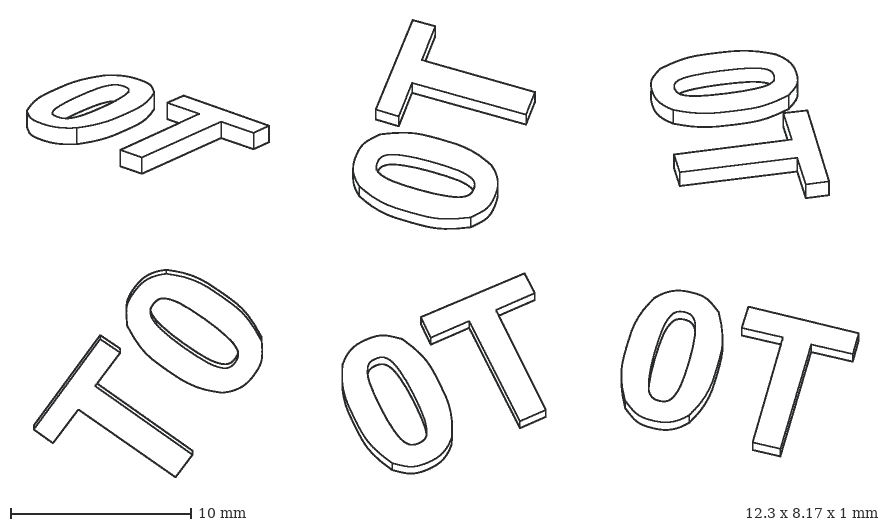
import cadquery as cq

total_width = 12.29
thickness = 1.0

o_half_width = 2.59
o_height = 8.17
o_apex = (0.05, o_height / 2)
left_corner = (-1.82, 3.27)
right_corner = (1.85, 3.27)
left_flank = [(-2.5, 1.49), (-2.25, 2.37)]
left_cap = [(-1.52, 3.55), (-1.09, 3.85)]
right_cap = [(1.13, 3.85), (1.52, 3.55)]
right_flank = [(2.26, 2.37), (2.52, 1.49)]

opening_half_width = 1.0
opening_half_height = 2.81
opening_shoulder = (0.52, 2.64)
opening_flank = [(0.85, 1.93), (0.96, 1.1)]

up = (0, 1)
down = (0, -1)
rightward = (1, 0)
flank_rise = (1, 2)
flank_fall = (1, -2)
cap_rise = (1, 0.9)
cap_fall = (1, -0.9)
shoulder_rise = (1, 1)
shoulder_fall = (1, -1)

t_right = total_width - o_half_width
t_bar_top_left = (3.35, 4.02)
t_bar_top_right = (t_right, 3.95)
t_bar_bottom_right = (t_right, 2.62)
t_bar_bottom_left = (3.32, 2.65)
t_stem_top_left = (5.68, 2.65)
t_stem_top_right = (7.31, 2.62)
t_stem_bottom_right = (7.24, -4.02)
t_stem_bottom_left = (5.64, -4.02)


def half_turn(points):
    """Rotate points or directions by 180 degrees about the centre of the O."""
    return [(-x, -y) for x, y in points]


def mirrored(points):
    """Mirror points left to right and reverse their order."""
    return [(-x, y) for x, y in reversed(points)]


def extrude_ring(start, upper_curves):
    """Plate bounded by the upper curves and their half-turned copies.

    Each curve is its points after the start, its start direction and its end direction.
    """
    lower_curves = [
        (half_turn(points), *half_turn([direction_in, direction_out]))
        for points, direction_in, direction_out in upper_curves
    ]
    outline = cq.Workplane("XY").moveTo(*start)
    for points, direction_in, direction_out in upper_curves + lower_curves:
        outline = outline.spline(points, tangents=[direction_in, direction_out], includeCurrent=True)
    return outline.close().extrude(thickness)


def make_o_blank():
    """Outer O with four blunt corners."""
    upper_curves = [
        (left_flank + [left_corner], up, flank_rise),
        (left_cap + [o_apex], cap_rise, rightward),
        (right_cap + [right_corner], rightward, cap_fall),
        (right_flank + [(o_half_width, 0)], flank_fall, down),
    ]
    return extrude_ring((-o_half_width, 0), upper_curves)


def make_o_opening():
    """Long smooth opening through the O."""
    left_shoulder = mirrored([opening_shoulder])
    upper_curves = [
        (mirrored(opening_flank) + left_shoulder, up, shoulder_rise),
        ([(0, opening_half_height)], shoulder_rise, rightward),
        ([opening_shoulder], rightward, shoulder_fall),
        (opening_flank + [(opening_half_width, 0)], shoulder_fall, down),
    ]
    return extrude_ring((-opening_half_width, 0), upper_curves)


def make_letter_t():
    outline = [
        t_bar_top_left,
        t_bar_top_right,
        t_bar_bottom_right,
        t_stem_top_right,
        t_stem_bottom_right,
        t_stem_bottom_left,
        t_stem_top_left,
        t_bar_bottom_left,
    ]
    return cq.Workplane("XY").polyline(outline).close().extrude(thickness)


letter_o = make_o_blank().cut(make_o_opening()).solids()
letter_t = make_letter_t()

result = cq.Compound.makeCompound([letter_o.val(), letter_t.val()])